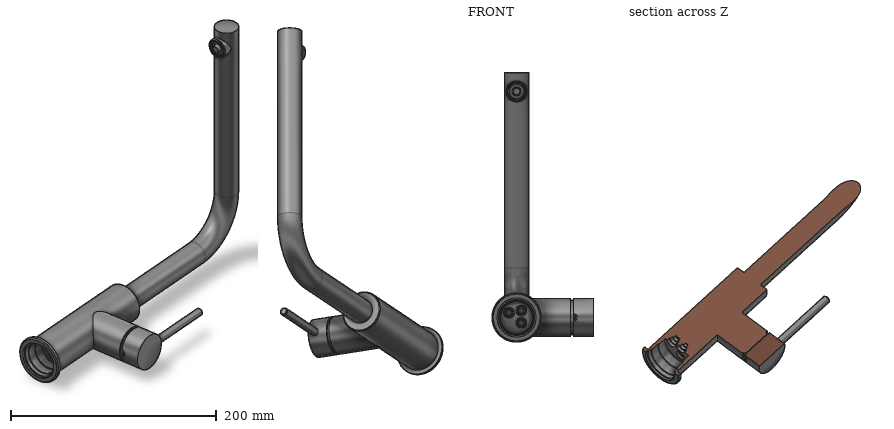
import cadquery as cq

total_reach = 306.0
total_width = 98.8
total_height = 262.0

flange_diameter = 48.0
flange_thickness = 4.0
flange_chamfer = 1.2
barrel_diameter = 40.0
barrel_length = 134.0
barrel_edge_chamfer = 1.0
recess_steps = [(38.0, 2.0), (35.0, 6.5), (33.0, 15.3), (31.2, 24.5)]
recess_floor_y = recess_steps[-1][1]

port_centres = [(-7.3, 4.5), (4.5, 6.7), (4.5, -5.2)]
port_step_diameters = [10.5, 8.0, 5.5]
port_step_length = 3.0

spout_diameter = 24.0
spout_root_length = 3.0
spout_start_y = barrel_length - spout_root_length
bend_radius = 48.0
spout_height = total_height - flange_diameter / 2
spout_y = total_reach - spout_diameter / 2
bend_start_y = spout_y - bend_radius

outlet_z = 219.7
outlet_diameter = 20.5
outlet_projection = 3.5
outlet_chamfer = 1.0
outlet_lip_diameter = 16.5
outlet_lip_depth = 1.0
outlet_recess_diameter = 14.0
outlet_recess_depth = 1.8
outlet_tip_projection = 2.0
outlet_tip_base_diameter = 9.0
outlet_tip_end_diameter = 6.5

branch_y = 79.5
branch_diameter = 37.3
branch_end_x = 52.3
gap_width = 2.8
neck_diameter = 33.7
handle_start_x = branch_end_x + gap_width
handle_end_x = total_width - flange_diameter / 2
lever_x = 68.0
lever_diameter = 7.5
lever_end_y = 167.0
lever_chamfer = 1.0
notch_diameters = [7.3, 4.3]
notch_step_depth = 3.0


def cylinder_y(diameter, start_y, end_y, x=0.0, z=0.0):
    """Cylinder parallel to Y between two Y positions."""
    plane = cq.Plane(origin=(x, start_y, z), xDir=(1, 0, 0), normal=(0, 1, 0))
    return cq.Workplane(plane).circle(diameter / 2).extrude(end_y - start_y)


def stepped_hole_y(diameters, step_length, start_y, x=0.0, z=0.0):
    """Cutter for a hole running towards +Y, one diameter per step of equal length."""
    cutter = cylinder_y(diameters[0], start_y, start_y + step_length, x, z)
    for step, diameter in enumerate(diameters[1:], start=2):
        cutter = cutter.union(cylinder_y(diameter, start_y, start_y + step * step_length, x, z))
    return cutter


def cylinder_x(diameter, start_x, end_x):
    """Cylinder on the valve axis between two X positions."""
    plane = cq.Plane(origin=(start_x, branch_y, 0), xDir=(0, 1, 0), normal=(1, 0, 0))
    return cq.Workplane(plane).circle(diameter / 2).extrude(end_x - start_x)


def make_barrel():
    barrel = cylinder_y(barrel_diameter, 0, barrel_length).faces(">Y").chamfer(barrel_edge_chamfer)
    flange = cylinder_y(flange_diameter, 0, flange_thickness).faces("<Y").chamfer(flange_chamfer)
    return barrel.union(flange)


def make_spout():
    path = (
        cq.Workplane("YZ")
        .moveTo(spout_start_y, 0)
        .lineTo(bend_start_y, 0)
        .radiusArc((spout_y, bend_radius), -bend_radius)
        .lineTo(spout_y, spout_height)
    )
    start = cq.Plane(origin=(0, spout_start_y, 0), xDir=(1, 0, 0), normal=(0, 1, 0))
    return cq.Workplane(start).circle(spout_diameter / 2).sweep(path)


def make_outlet():
    face_y = spout_y - spout_diameter / 2 - outlet_projection
    floor_y = face_y + outlet_recess_depth
    tip_y = face_y - outlet_tip_projection
    outlet = cylinder_y(outlet_diameter, face_y, spout_y, z=outlet_z).faces("<Y").chamfer(outlet_chamfer)
    outlet = outlet.cut(cylinder_y(outlet_lip_diameter, face_y, face_y + outlet_lip_depth, z=outlet_z))
    outlet = outlet.cut(cylinder_y(outlet_recess_diameter, face_y, floor_y, z=outlet_z))
    floor = cq.Plane(origin=(0, floor_y, outlet_z), xDir=(1, 0, 0), normal=(0, -1, 0))
    tip = (
        cq.Workplane(floor)
        .circle(outlet_tip_base_diameter / 2)
        .workplane(offset=floor_y - tip_y)
        .circle(outlet_tip_end_diameter / 2)
        .loft()
    )
    return outlet.union(tip)


def cut_base_openings(body):
    for diameter, depth in recess_steps:
        body = body.cut(cylinder_y(diameter, 0, depth))
    for x, z in port_centres:
        body = body.cut(stepped_hole_y(port_step_diameters, port_step_length, recess_floor_y, x, z))
    return body


def make_faucet_body():
    body = make_barrel().union(make_spout()).union(make_outlet())
    body = body.union(cylinder_x(branch_diameter, 0, branch_end_x))
    body = body.union(cylinder_x(neck_diameter, 0, handle_start_x))
    return cut_base_openings(body)


def make_handle():
    knob = cylinder_x(branch_diameter, handle_start_x, handle_end_x)
    lever = cylinder_y(lever_diameter, branch_y, lever_end_y, x=lever_x).faces(">Y").chamfer(lever_chamfer)
    front_y = branch_y - branch_diameter / 2
    notch = stepped_hole_y(notch_diameters, notch_step_depth, front_y, x=handle_start_x)
    return knob.union(lever).cut(notch)


faucet_body = make_faucet_body()
handle = make_handle()

result = cq.Compound.makeCompound([faucet_body.val(), handle.val()])